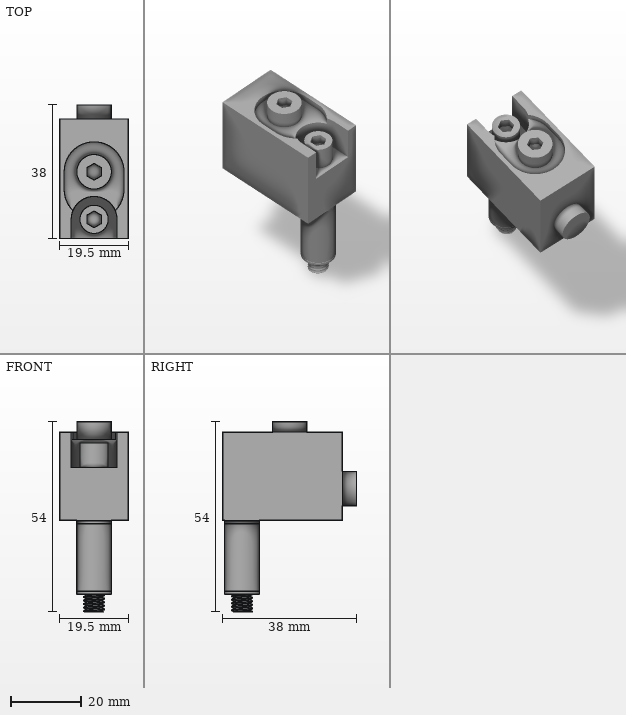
import cadquery as cq
import math

block_width = 19.5
block_length = 34.0
block_height = 25.0

large_head_diameter = 9.8
vertical_screw_y = 19.0
vertical_head_projection = 3.0
pocket_radius = 8.5
pocket_center_spacing = 5.0
pocket_depth = 2.0

back_screw_z = 9.0
back_head_projection = 4.0

post_y = 5.5
slot_width = 13.0
slot_depth = 10.0
small_head_diameter = 8.0
small_head_recess = 3.0

socket_sides = 6
socket_across_flats = 4.1
socket_depth = 3.0

post_diameter = 10.0
post_length = 21.0
collar_length = 1.0
collar_chamfer = 0.15

thread_diameter = 6.0
thread_pitch = 1.0
thread_length = 5.0
thread_height = 0.61 * thread_pitch
thread_root_width = 0.85 * thread_pitch
thread_crest_width = 0.125 * thread_pitch
thread_phase = 0.25 * thread_pitch
thread_embed = 0.1
thread_overrun = 1.5 * thread_pitch

block_top = block_height
pocket_floor = block_top - pocket_depth
slot_floor = block_top - slot_depth
post_bottom = -post_length
thread_bottom = post_bottom - thread_length


def upright_cylinder(diameter, y, bottom, top):
    """Vertical cylinder on the plane of symmetry."""
    base = cq.Workplane("XY", origin=(0, y, bottom))
    return base.circle(diameter / 2).extrude(top - bottom)


def hex_socket(y, top):
    """Hexagonal prism with two of its flats facing +X and -X."""
    across_corners = socket_across_flats / math.cos(math.pi / socket_sides)
    base = cq.Workplane("XY", origin=(0, y, top))
    return base.transformed(rotate=(0, 0, 90)).polygon(socket_sides, across_corners).extrude(-socket_depth)


def socket_screw_head(diameter, y, bottom, top):
    return upright_cylinder(diameter, y, bottom, top).cut(hex_socket(y, top))


def make_block():
    block = cq.Workplane("XY").box(block_width, block_length, block_height, centered=(True, False, False))

    pocket_center_y = vertical_screw_y - pocket_center_spacing / 2
    pocket = (
        cq.Workplane("XY", origin=(0, pocket_center_y, pocket_floor))
        .slot2D(pocket_center_spacing + 2 * pocket_radius, 2 * pocket_radius, 90)
        .extrude(pocket_depth)
    )
    slot_end = upright_cylinder(slot_width, post_y, slot_floor, block_top)
    slot_mouth = cq.Workplane("XY", origin=(0, 0, slot_floor)).box(
        slot_width, post_y, slot_depth, centered=(True, False, False)
    )
    return block.cut(pocket).cut(slot_end).cut(slot_mouth)


def make_back_screw_head():
    base = cq.Workplane("XZ", origin=(0, block_length, back_screw_z))
    return base.circle(large_head_diameter / 2).extrude(-back_head_projection)


def make_collar(bottom):
    collar = upright_cylinder(post_diameter, post_y, bottom, bottom + collar_length)
    return collar.faces("<Z or >Z").chamfer(collar_chamfer)


def make_post():
    barrel_bottom = post_bottom + collar_length
    barrel = upright_cylinder(post_diameter, post_y, barrel_bottom, -collar_length)
    return barrel.union(make_collar(post_bottom)).union(make_collar(-collar_length))


def make_thread():
    """Right-handed thread ridge on its core, trimmed to the length of the threaded end."""
    crest_radius = thread_diameter / 2
    root_radius = crest_radius - thread_height
    inner_radius = root_radius - thread_embed
    flank_slope = (thread_root_width - thread_crest_width) / 2 / thread_height
    inner_half_width = thread_root_width / 2 + flank_slope * thread_embed
    crest_half_width = thread_crest_width / 2

    helix = cq.Wire.makeHelix(thread_pitch, thread_length + 2 * thread_overrun, root_radius)
    ridge = (
        cq.Workplane("XZ")
        .polyline([
            (inner_radius, -inner_half_width),
            (crest_radius, -crest_half_width),
            (crest_radius, crest_half_width),
            (inner_radius, inner_half_width),
        ])
        .close()
        .sweep(cq.Workplane(obj=helix), isFrenet=True)
        .translate((0, post_y, thread_bottom - thread_overrun + thread_phase))
    )
    envelope = upright_cylinder(2 * thread_diameter, post_y, thread_bottom, post_bottom)
    core = upright_cylinder(2 * root_radius, post_y, thread_bottom, post_bottom)
    return core.union(ridge.intersect(envelope))


rear_head = socket_screw_head(
    large_head_diameter, vertical_screw_y, pocket_floor, block_top + vertical_head_projection
)
front_head = socket_screw_head(small_head_diameter, post_y, slot_floor, block_top - small_head_recess)

result = (
    make_block()
    .union(rear_head)
    .union(front_head)
    .union(make_back_screw_head())
    .union(make_post())
    .union(make_thread())
)